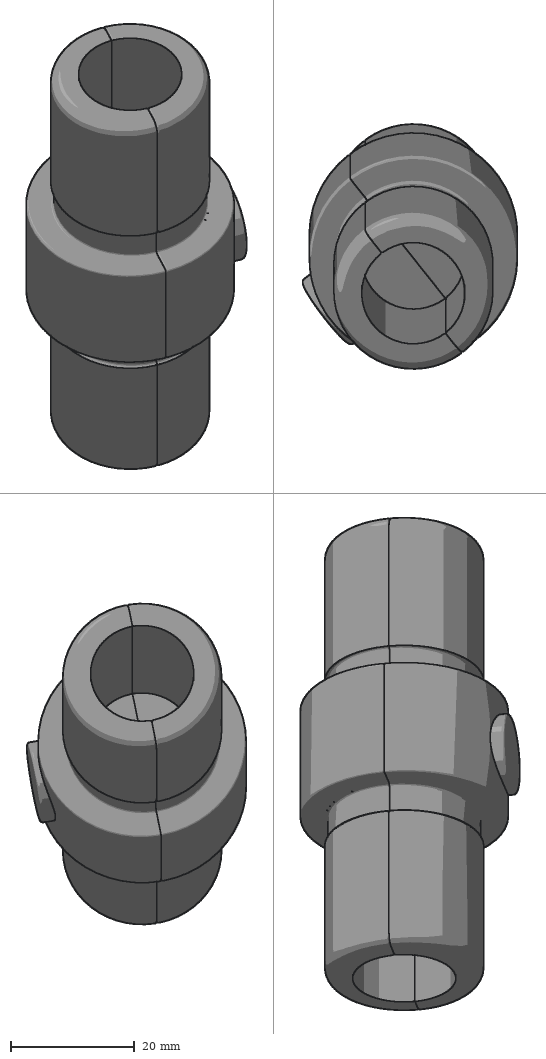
import cadquery as cq

length = 78.0
collar_diameter = 33.7
collar_height = 20.0
sleeve_diameter = 25.75
neck_length = 5.0
bore_diameter = 16.7

end_radius = 2.0
collar_edge_radius = 0.5
neck_corner_radius = 0.5
parting_edge_radius = 0.3

button_diameter = 13.2
button_protrusion = 1.0
button_depth = 5.0
button_edge_radius = 0.5

half_length = length / 2
collar_radius = collar_diameter / 2
collar_top = collar_height / 2
sleeve_radius = sleeve_diameter / 2
neck_radius = sleeve_radius - neck_corner_radius
shoulder = collar_top + neck_length
button_face = collar_radius + button_protrusion
button_seat = collar_radius - button_depth


def upper_body():
    """Upper half of the full round body: collar, undercut neck and sleeve above Z = 0."""
    profile = (
        cq.Workplane("XZ")
        .lineTo(collar_radius, 0)
        .lineTo(collar_radius, collar_top - collar_edge_radius)
        .radiusArc((collar_radius - collar_edge_radius, collar_top), -collar_edge_radius)
        .lineTo(sleeve_radius, collar_top)
        .radiusArc((neck_radius, collar_top + neck_corner_radius), neck_corner_radius)
        .lineTo(neck_radius, shoulder - neck_corner_radius)
        .radiusArc((sleeve_radius, shoulder), neck_corner_radius)
        .lineTo(sleeve_radius, half_length - end_radius)
        .radiusArc((sleeve_radius - end_radius, half_length), -end_radius)
        .lineTo(0, half_length)
        .close()
    )
    return profile.revolve(360, (0, 0), (0, 1))


def upper_bore():
    """Blind bore from the upper end down to the collar, leaving a solid web inside the collar."""
    bore_depth = half_length - collar_top
    return cq.Workplane("XY", origin=(0, 0, collar_top)).circle(bore_diameter / 2).extrude(bore_depth)


def full_sleeve():
    """Both halves of the sleeve together."""
    upper = upper_body().cut(upper_bore())
    return upper.union(upper.mirror("XY"))


def half_sleeve(side):
    """Half of the sleeve on the +Y side (side = 1) or the -Y side (side = -1)."""
    keep = cq.Workplane("XY").box(length, length, length).translate((0, side * half_length, 0))
    half = full_sleeve().intersect(keep)
    parting_face = "<Y" if side > 0 else ">Y"
    return half.faces(parting_face).edges().fillet(parting_edge_radius)


def button_cylinder():
    """Plain cylinder of the button, from its seat to its outer face."""
    return (
        cq.Workplane("XZ", origin=(0, button_seat, 0))
        .circle(button_diameter / 2)
        .extrude(button_seat - button_face)
    )


def make_button():
    """Button with a rounded rim on its outer face."""
    return button_cylinder().faces(">Y").edges().fillet(button_edge_radius)


front_half = half_sleeve(-1)
rear_half = half_sleeve(1).cut(button_cylinder())
button = make_button()

result = cq.Compound.makeCompound([front_half.val(), rear_half.val(), button.val()])